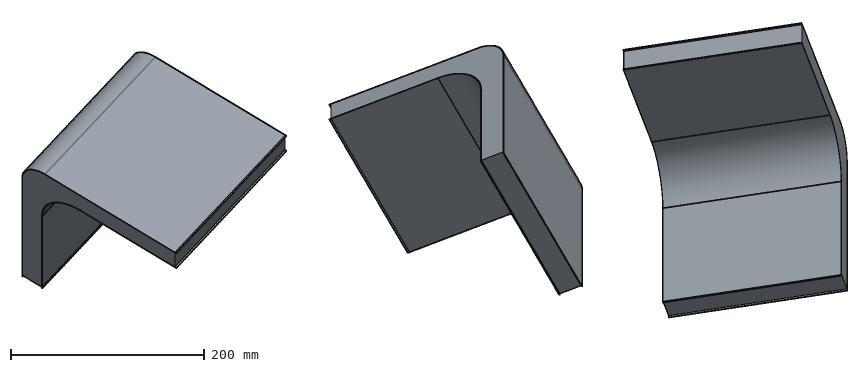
import cadquery as cq
import math

LENGTH = 200.0
DEPTH = 190.0
CORE_THICKNESS = 24.5
SKIN = 1.0
END_RECESS = 2.0
OUTER_RADIUS = 30.0
INNER_RADIUS = 49.0

CORE_BACK = SKIN + CORE_THICKNESS
WALL = CORE_BACK + SKIN
INNER_CENTRE = WALL + INNER_RADIUS


def corner_point(across, down):
    """Point in the XZ plane, measured rightwards and downwards from the outer corner."""
    return across, LENGTH - down


def bend_middle(centre, offset):
    """Middle of a bend that is tangent to both faces at the given offset."""
    along = centre - (centre - offset) * math.sqrt(0.5)
    return corner_point(along, along)


def bent_band(outer, outer_centre, inner, inner_centre, end):
    """Prism bent through a right angle, between two offsets and with arms reaching to end."""
    return (
        cq.Workplane("XZ")
        .moveTo(*corner_point(outer, end))
        .lineTo(*corner_point(outer, outer_centre))
        .threePointArc(bend_middle(outer_centre, outer), corner_point(outer_centre, outer))
        .lineTo(*corner_point(end, outer))
        .lineTo(*corner_point(end, inner))
        .lineTo(*corner_point(inner_centre, inner))
        .threePointArc(bend_middle(inner_centre, inner), corner_point(inner, inner_centre))
        .lineTo(*corner_point(inner, end))
        .close()
        .extrude(-DEPTH)
    )


def make_outer_sheet():
    """Bent sheet over the outside of the panel."""
    return bent_band(0, OUTER_RADIUS, SKIN, OUTER_RADIUS, LENGTH)


def make_core():
    """Filling between the sheets, set back at both ends."""
    return bent_band(SKIN, OUTER_RADIUS, CORE_BACK, INNER_CENTRE, LENGTH - END_RECESS)


def make_inner_corner_sheet():
    """Quarter-round sheet joining the two flat inner sheets."""
    return (
        cq.Workplane("XZ")
        .moveTo(*corner_point(CORE_BACK, INNER_CENTRE))
        .threePointArc(bend_middle(INNER_CENTRE, CORE_BACK), corner_point(INNER_CENTRE, CORE_BACK))
        .lineTo(*corner_point(INNER_CENTRE, WALL))
        .threePointArc(bend_middle(INNER_CENTRE, WALL), corner_point(WALL, INNER_CENTRE))
        .close()
        .extrude(-DEPTH)
    )


def make_inner_flat_sheet(start, stop):
    """Flat sheet filling the rectangle between two opposite corner points."""
    return (
        cq.Workplane("XZ")
        .moveTo(*start)
        .lineTo(stop[0], start[1])
        .lineTo(*stop)
        .lineTo(start[0], stop[1])
        .close()
        .extrude(-DEPTH)
    )


outer_sheet = make_outer_sheet()
core = make_core()
inner_corner_sheet = make_inner_corner_sheet()

flat_sheet_corners = [
    (corner_point(CORE_BACK, INNER_CENTRE), corner_point(WALL, LENGTH)),
    (corner_point(INNER_CENTRE, CORE_BACK), corner_point(LENGTH, WALL)),
]
inner_flat_sheets = [make_inner_flat_sheet(start, stop) for start, stop in flat_sheet_corners]

result = cq.Compound.makeCompound(
    [outer_sheet.val(), core.val(), inner_corner_sheet.val()]
    + [sheet.val() for sheet in inner_flat_sheets]
)